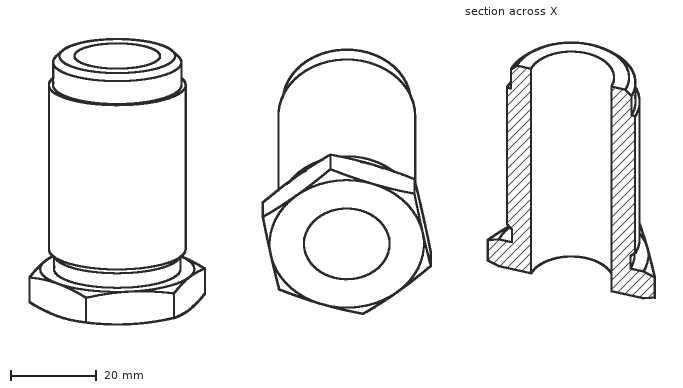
import cadquery as cq
import math

total_height = 60.0

hex_across_flats = 36.0
hex_height = 8.0
hex_corner_drop = 0.95

neck_diameter = 29.5
neck_top = 11.5

body_diameter = 32.0
body_top = 52.9
body_chamfer_height = 1.3

collar_diameter = 30.0
collar_chamfer = 1.5

bore_diameter = 20.0

hex_across_corners = hex_across_flats / math.cos(math.radians(30))


def make_hex_head():
    """Hexagon with corners on the Y axis, bevelled conically at both ends."""
    prism = (
        cq.Workplane("XY")
        .polygon(6, hex_across_corners)
        .extrude(hex_height)
        .rotate((0, 0, 0), (0, 0, 1), 30)
    )
    flat_radius = hex_across_flats / 2
    corner_radius = hex_across_corners / 2
    bevel_profile = [
        (0, 0),
        (flat_radius, 0),
        (corner_radius, hex_corner_drop),
        (corner_radius, hex_height - hex_corner_drop),
        (flat_radius, hex_height),
        (0, hex_height),
    ]
    bevel = cq.Workplane("XZ").polyline(bevel_profile).close().revolve(360, (0, 0), (0, 1))
    return prism.intersect(bevel)


def make_sleeve():
    """Stepped round sleeve: neck, main body and chamfered top collar."""
    neck_radius = neck_diameter / 2
    body_radius = body_diameter / 2
    collar_radius = collar_diameter / 2
    profile = [
        (0, 0),
        (neck_radius, 0),
        (neck_radius, neck_top),
        (body_radius, neck_top + body_chamfer_height),
        (body_radius, body_top),
        (collar_radius, body_top),
        (collar_radius, total_height - collar_chamfer),
        (collar_radius - collar_chamfer, total_height),
        (0, total_height),
    ]
    return cq.Workplane("XZ").polyline(profile).close().revolve(360, (0, 0), (0, 1))


bore = cq.Workplane("XY").circle(bore_diameter / 2).extrude(total_height)

result = make_hex_head().union(make_sleeve()).cut(bore)